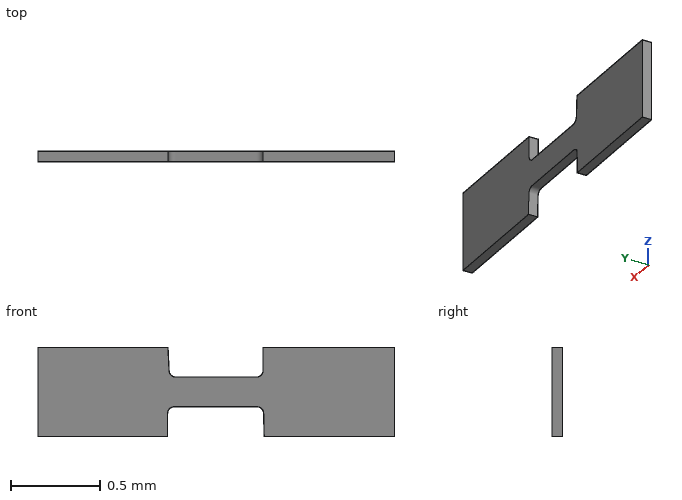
import cadquery as cq

length = 2.0
thickness = 0.06
height = 0.5

neck_height = 0.168
corner_radius = 0.035

upper_left_outer = -0.27
upper_left_inner = -0.262
upper_right = 0.262
lower_left = -0.272
lower_right_outer = 0.268
lower_right_inner = 0.265

half_height = height / 2
half_neck = neck_height / 2


def notch(outer_left, inner_left, inner_right, outer_right, side):
    """Cutter for one notch; side is +1 above the neck and -1 below it."""
    edge = side * half_height
    floor = side * half_neck
    return (
        cq.Workplane("XZ")
        .polyline([
            (outer_left, edge),
            (inner_left, floor),
            (inner_right, floor),
            (outer_right, edge),
        ])
        .close()
        .extrude(thickness / 2, both=True)
        .edges("|Y")
        .edges("<Z" if side > 0 else ">Z")
        .fillet(corner_radius)
    )


plate = cq.Workplane("XY").box(length, thickness, height)
upper_notch = notch(upper_left_outer, upper_left_inner, upper_right, upper_right, 1)
lower_notch = notch(lower_left, lower_left, lower_right_inner, lower_right_outer, -1)

result = plate.cut(upper_notch).cut(lower_notch)